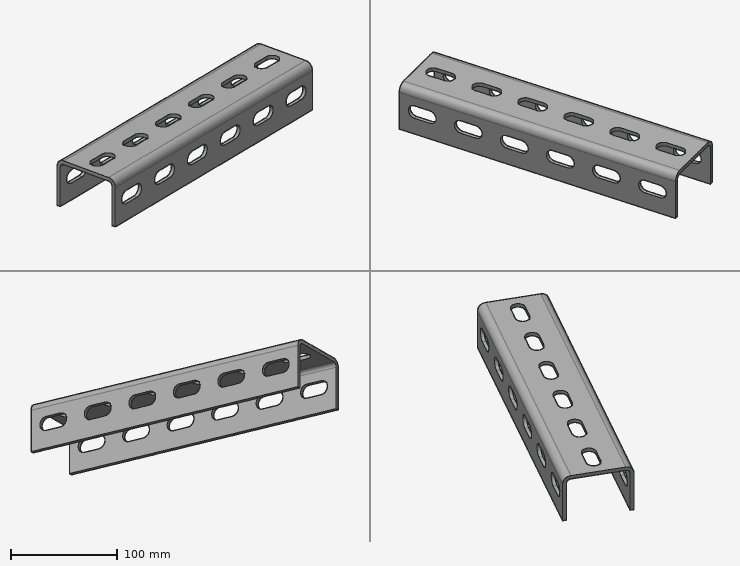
import cadquery as cq

length = 300.0
width = 70.0
height = 50.0
thickness = 4.0
outer_bend_radius = 8.0
inner_bend_radius = outer_bend_radius - thickness

slot_count = 6
slot_length = 30.0
slot_width = 14.0
slot_pitch = length / slot_count
side_slot_height = height / 2


def rounded_top_bar(bar_width, bar_height, top_radius):
    """Full-length bar standing on Z = 0 with its two upper long edges rounded."""
    bar = cq.Workplane("XY").box(bar_width, length, bar_height, centered=(True, True, False))
    return bar.edges("|Y and >Z").fillet(top_radius)


def slot_row(workplane, slot_angle, points, depth):
    """Row of cutters extruded symmetrically about the workplane."""
    row = workplane.pushPoints(points).slot2D(slot_length, slot_width, slot_angle)
    return row.extrude(depth / 2, both=True)


slot_positions = [(i - (slot_count - 1) / 2) * slot_pitch for i in range(slot_count)]

outer = rounded_top_bar(width, height, outer_bend_radius)
inner = rounded_top_bar(width - 2 * thickness, height - thickness, inner_bend_radius)
channel = outer.cut(inner)

top_slots = slot_row(
    cq.Workplane("XY").workplane(offset=height),
    90,
    [(0, y) for y in slot_positions],
    4 * thickness,
)

side_slots = slot_row(
    cq.Workplane("YZ"),
    0,
    [(y, side_slot_height) for y in slot_positions],
    2 * width,
)

result = channel.cut(top_slots).cut(side_slots)